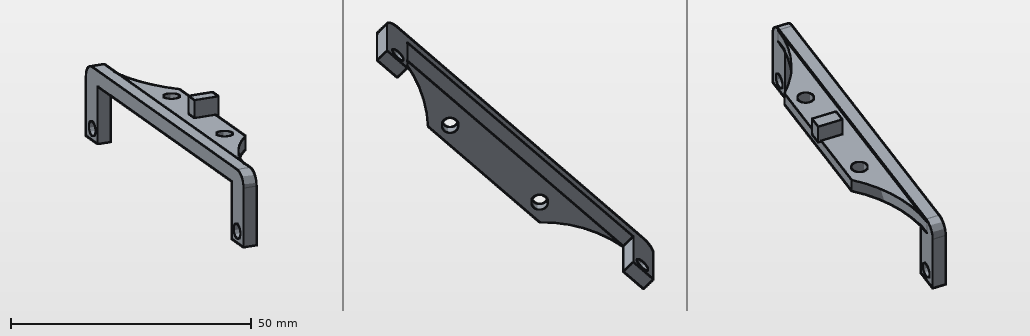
import cadquery as cq

length = 76.2
frame_thickness = 3.05
frame_height = 16.2
bar_height = 3.5
leg_width = 5.8
corner_radius = 3.1
leg_hole_diameter = 3.2
leg_hole_inset = 3.1
leg_hole_height = 2.6

plate_thickness = 3.0
plate_top = 15.8
plate_back = 11.05
plate_back_width = 32.0
plate_front_width = 70.9
plate_hole_diameter = 3.4
plate_hole_spacing = 25.6
plate_hole_y = 7.7

block_width = 3.0
block_length = 5.6
block_back = 11.7
block_bottom = 15.55
block_top = 19.7


def make_frame():
    """Upright frame with rounded top corners and a hole near each foot."""
    frame = (
        cq.Workplane("XY")
        .box(length, frame_thickness, frame_height, centered=(True, False, False))
        .edges("|Y and >Z")
        .fillet(corner_radius)
    )
    opening = cq.Workplane("XY").box(
        length - 2 * leg_width,
        frame_thickness,
        frame_height - bar_height,
        centered=(True, False, False),
    )
    hole_x = length / 2 - leg_hole_inset
    holes = (
        cq.Workplane("XZ")
        .pushPoints([(-hole_x, leg_hole_height), (hole_x, leg_hole_height)])
        .circle(leg_hole_diameter / 2)
        .extrude(-frame_thickness)
    )
    return frame.cut(opening).cut(holes)


def make_plate():
    """Plate with concave sides that flare tangentially into the frame."""
    front_x = plate_front_width / 2
    back_x = plate_back_width / 2
    run = front_x - back_x
    rise = plate_back - frame_thickness
    radius = (run**2 + rise**2) / (2 * rise)
    plate = (
        cq.Workplane("XY", origin=(0, 0, plate_top - plate_thickness))
        .moveTo(-front_x, 0)
        .lineTo(-front_x, frame_thickness)
        .radiusArc((-back_x, plate_back), -radius)
        .lineTo(back_x, plate_back)
        .radiusArc((front_x, frame_thickness), -radius)
        .lineTo(front_x, 0)
        .close()
        .extrude(plate_thickness)
    )
    hole_x = plate_hole_spacing / 2
    holes = (
        cq.Workplane("XY", origin=(0, 0, plate_top - plate_thickness))
        .pushPoints([(-hole_x, plate_hole_y), (hole_x, plate_hole_y)])
        .circle(plate_hole_diameter / 2)
        .extrude(plate_thickness)
    )
    return plate.cut(holes)


def make_block():
    """Rectangular block set slightly into the top of the plate."""
    return cq.Workplane("XY", origin=(0, block_back - block_length, block_bottom)).box(
        block_width,
        block_length,
        block_top - block_bottom,
        centered=(True, False, False),
    )


result = make_frame().union(make_plate()).union(make_block())